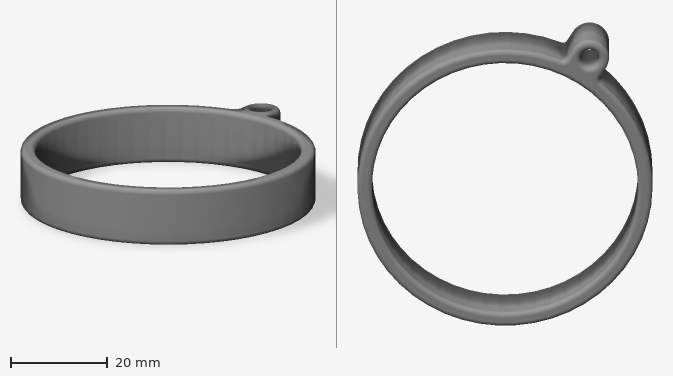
import cadquery as cq
import math

overall_length = 68.0
height = 12.0
bore_diameter = 55.0
ring_wall = 3.0
lug_hole_diameter = 4.0

ring_inner_radius = bore_diameter / 2
ring_outer_radius = ring_inner_radius + ring_wall
edge_radius = ring_wall / 3

arc_inset = edge_radius * (1 - math.sqrt(0.5))

lug_hole_radius = lug_hole_diameter / 2
lug_radius = lug_hole_radius + 2 * edge_radius
lug_center_y = overall_length - ring_outer_radius - lug_radius

blend_radius = edge_radius
blend_center_x = lug_radius + blend_radius
blend_center_distance = ring_outer_radius + blend_radius
blend_center_y = math.sqrt(blend_center_distance**2 - blend_center_x**2)


def point_on_blend(angle):
    """Point on the right-hand blend arc."""
    return (
        blend_center_x + blend_radius * math.cos(angle),
        blend_center_y + blend_radius * math.sin(angle),
    )


def mirrored(point):
    """The same point on the other side of the lug."""
    return (-point[0], point[1])


def make_blank():
    """Disc and straight lug, square at the eye centre, rounded around the outline edges."""
    lug_side_angle = math.pi
    ring_side_angle = math.pi + math.atan2(blend_center_y, blend_center_x)
    blend_top = point_on_blend(lug_side_angle)
    blend_middle = point_on_blend((lug_side_angle + ring_side_angle) / 2)
    blend_foot = point_on_blend(ring_side_angle)
    below_eye_center = cq.Workplane("XY", origin=(0, -ring_outer_radius, 0)).box(
        2 * ring_outer_radius,
        ring_outer_radius + lug_center_y,
        height,
        centered=(True, False, False),
    )
    return (
        cq.Workplane("XY")
        .moveTo(*blend_foot)
        .threePointArc((0, -ring_outer_radius), mirrored(blend_foot))
        .threePointArc(mirrored(blend_middle), mirrored(blend_top))
        .lineTo(-lug_radius, lug_center_y)
        .threePointArc((0, lug_center_y + lug_radius), (lug_radius, lug_center_y))
        .lineTo(*blend_top)
        .threePointArc(blend_middle, blend_foot)
        .close()
        .extrude(height)
        .faces("<Z or >Z")
        .edges()
        .fillet(edge_radius)
        .intersect(below_eye_center)
    )


def make_rounded_bore(radius, center_y):
    """Cutter for a through hole whose two rims flare out by the edge radius."""
    rim_radius = radius + edge_radius
    return (
        cq.Workplane("XZ", origin=(0, center_y, 0))
        .lineTo(rim_radius, 0)
        .threePointArc((radius + arc_inset, arc_inset), (radius, edge_radius))
        .lineTo(radius, height - edge_radius)
        .threePointArc((radius + arc_inset, height - arc_inset), (rim_radius, height))
        .lineTo(0, height)
        .close()
        .revolve(360, (0, 0, 0), (0, 1, 0))
    )


def make_eye_end():
    """Half-round outer end of the lug: a wall with semicircular rims swept half a turn."""
    crown_radius = lug_hole_radius + edge_radius
    return (
        cq.Workplane("XZ", origin=(0, lug_center_y, 0))
        .moveTo(lug_hole_radius, edge_radius)
        .threePointArc((crown_radius, 0), (lug_radius, edge_radius))
        .lineTo(lug_radius, height - edge_radius)
        .threePointArc((crown_radius, height), (lug_hole_radius, height - edge_radius))
        .close()
        .revolve(180, (0, 0, 0), (0, 1, 0))
    )


def make_ring():
    """Ring with its hanging lug, bored through the middle and through the lug."""
    return (
        make_blank()
        .cut(make_rounded_bore(ring_inner_radius, 0))
        .cut(make_rounded_bore(lug_hole_radius, lug_center_y))
        .union(make_eye_end(), clean=False)
    )


ring = make_ring()

result = cq.Compound.makeCompound([ring.solids().val()])